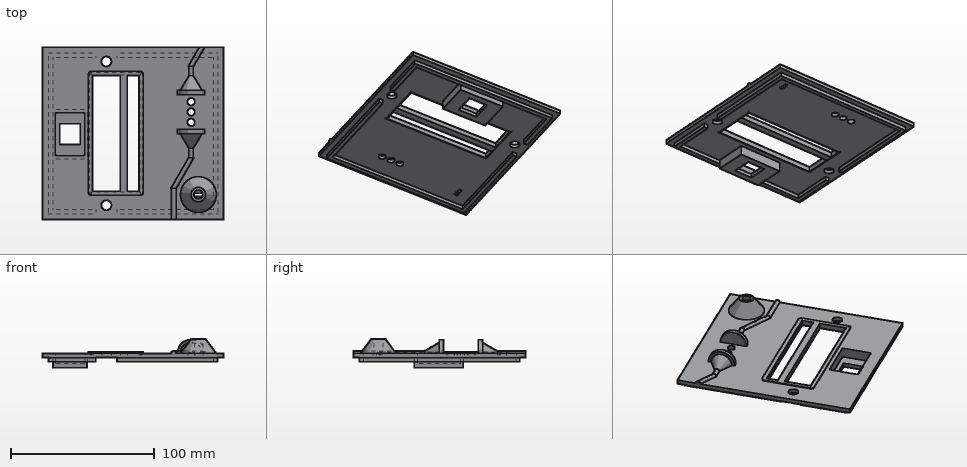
import cadquery as cq
import math


PLATE_LENGTH = 126.0
PLATE_WIDTH = 120.0
PLATE_THICKNESS = 3.0
RIM_INSET = 4.0
RIM_WALL = 3.0
RIM_HEIGHT = 3.0
RIM_GAP = 14.5

SCREW_DIAMETER = 6.8
SCREW_X = -18.5
SCREW_EDGE_DISTANCE = 10.0
SCREW_Y = PLATE_WIDTH / 2 - SCREW_EDGE_DISTANCE

POCKET_LENGTH = 20.7
POCKET_WIDTH = 29.9
POCKET_RADIUS = 1.0
BOX_WALL_X = 1.5
BOX_WALL_Y = 2.3
BOX_FLOOR = 3.0
BOX_DROP = 4.0
BOX_X = -43.8
BOX_Y = -0.5
JACK_OPENING = 14.2
BOX_BOTTOM = -(PLATE_THICKNESS + RIM_HEIGHT + BOX_DROP)

FRAME_BORDER = 3.0
WIDE_WINDOW = 19.0
NARROW_WINDOW = 8.1
WINDOW_BAR = 5.0
WINDOW_HEIGHT = 80.4
FRAME_X = -12.0
FRAME_RISE = 1.0
FRAME_RADIUS = 2.1
FRAME_TAPER = 32.0
FRAME_LENGTH = 2 * FRAME_BORDER + WIDE_WINDOW + WINDOW_BAR + NARROW_WINDOW
FRAME_WIDTH = WINDOW_HEIGHT + 2 * FRAME_BORDER
FRAME_DEPTH = FRAME_RISE + PLATE_THICKNESS

FUNNEL_X = 40.5
FUNNEL_Y = 14.9
FUNNEL_SPACING = 24.0
FLANGE_DIAMETER = 19.2
FLANGE_THICKNESS = 3.2
CONE_DIAMETER = 15.1
CONE_LENGTH = 10.1
PIPE_DIAMETER = 3.3
NECK_LENGTH = 6.8
PIPE_ANGLE = 30.0
PIPE_DROP = 21.0

SMALL_HOLE_DIAMETER = 5.0
SMALL_HOLE_PITCH = 7.2

BOSS_X = 45.5
BOSS_Y = -42.6
BOSS_BASE_DIAMETER = 25.0
BOSS_TOP_DIAMETER = 10.1
BOSS_HEIGHT = 10.0
BORE_DIAMETER = 6.0
SLOT_WIDTH = 2.1
SLOT_OFFSET = -0.3


def block(length, width, top, bottom, x=0.0, y=0.0):
    """Upright box centred on (x, y) between two heights."""
    return (cq.Workplane("XY", origin=(x, y, bottom))
            .rect(length, width).extrude(top - bottom))


def half_round(profile, x, y, direction):
    """Upper half of a solid of revolution about a line along +Y or -Y.

    The profile lists (radius, distance along the axis) points.
    """
    points = [(x + radius, y + direction * distance) for radius, distance in profile]
    outline = cq.Workplane("XY").polyline(points).close()
    return outline.revolve(180, (x, y, 0), (x, y - 1.3, 0))


def straight_pipe(x, y, direction, length):
    radius = PIPE_DIAMETER / 2
    profile = [(0, 0), (radius, 0), (radius, length), (0, length)]
    return half_round(profile, x, y, direction)


def sloping_pipe(x, y, direction, rise):
    """Half-round pipe at PIPE_ANGLE, cut off square to Y at both ends."""
    overrun = PIPE_DIAMETER
    length = rise / math.cos(math.radians(PIPE_ANGLE)) + 2 * overrun
    pipe = straight_pipe(x, y - direction * overrun, direction, length)
    pipe = pipe.rotate((x, y, 0), (x, y, 1), -PIPE_ANGLE)
    limits = block(PLATE_LENGTH, rise, PIPE_DIAMETER, 0, x, y + direction * rise / 2)
    return pipe.intersect(limits)


def make_funnel(direction):
    """Flange, cone and pipe; direction is +1 for the +Y funnel, -1 for the -Y one."""
    face_y = FUNNEL_Y + direction * FUNNEL_SPACING / 2
    cone_end = FLANGE_THICKNESS + CONE_LENGTH
    pipe_radius = PIPE_DIAMETER / 2
    neck_end = cone_end + NECK_LENGTH
    profile = [
        (0, 0),
        (FLANGE_DIAMETER / 2, 0),
        (FLANGE_DIAMETER / 2, FLANGE_THICKNESS),
        (CONE_DIAMETER / 2, FLANGE_THICKNESS),
        (pipe_radius, cone_end),
        (pipe_radius, neck_end),
        (0, neck_end),
    ]
    funnel = half_round(profile, FUNNEL_X, face_y, direction)

    bend_y = face_y + direction * neck_end
    to_edge = PLATE_WIDTH / 2 - direction * bend_y
    if direction > 0:
        return funnel.union(sloping_pipe(FUNNEL_X, bend_y, direction, to_edge))

    lower_x = FUNNEL_X - PIPE_DROP * math.tan(math.radians(PIPE_ANGLE))
    lower_y = bend_y - PIPE_DROP
    funnel = funnel.union(sloping_pipe(FUNNEL_X, bend_y, direction, PIPE_DROP))
    return funnel.union(straight_pipe(lower_x, lower_y, direction, to_edge - PIPE_DROP))


def make_rim():
    """Rim behind the plate, open beside each screw hole."""
    length = PLATE_LENGTH - 2 * RIM_INSET
    width = PLATE_WIDTH - 2 * RIM_INSET
    top = -PLATE_THICKNESS
    bottom = top - RIM_HEIGHT
    rim = block(length, width, top, bottom)
    rim = rim.cut(block(length - 2 * RIM_WALL, width - 2 * RIM_WALL, top, bottom))
    return rim.cut(block(RIM_GAP, PLATE_WIDTH, top, bottom, SCREW_X))


def add_jack_box(plate):
    length = POCKET_LENGTH + 2 * BOX_WALL_X
    width = POCKET_WIDTH + 2 * BOX_WALL_Y
    floor = BOX_BOTTOM + BOX_FLOOR
    box = block(length, width, -PLATE_THICKNESS, BOX_BOTTOM, BOX_X, BOX_Y)
    pocket = block(POCKET_LENGTH, POCKET_WIDTH, 0, floor, BOX_X, BOX_Y)
    opening = block(JACK_OPENING, JACK_OPENING, floor, BOX_BOTTOM, BOX_X, BOX_Y)
    return plate.union(box).cut(pocket.edges("|Z").fillet(POCKET_RADIUS)).cut(opening)


def add_boss(plate):
    boss = (cq.Workplane("XZ", origin=(BOSS_X, BOSS_Y, 0))
            .polyline([
                (BORE_DIAMETER / 2, 0),
                (BOSS_BASE_DIAMETER / 2, 0),
                (BOSS_TOP_DIAMETER / 2, BOSS_HEIGHT),
                (BORE_DIAMETER / 2, BOSS_HEIGHT),
            ]).close()
            .revolve(360, (0, 0, 0), (0, 1, 0)))
    slot = block(BORE_DIAMETER, SLOT_WIDTH, 0, -PLATE_THICKNESS, BOSS_X, BOSS_Y + SLOT_OFFSET)
    return plate.union(boss).cut(slot)


def cut_round_holes(plate):
    screws = [(SCREW_X, side * SCREW_Y) for side in (-1, 1)]
    row = [(FUNNEL_X, FUNNEL_Y + step * SMALL_HOLE_PITCH) for step in (-1, 0, 1)]
    for points, diameter in ((screws, SCREW_DIAMETER), (row, SMALL_HOLE_DIAMETER)):
        holes = cq.Workplane("XY").pushPoints(points).circle(diameter / 2)
        plate = plate.cut(holes.extrude(-PLATE_THICKNESS))
    return plate


def make_frame_blank():
    """Tapered frame without its windows, widest at its top face."""
    return (cq.Workplane("XY", origin=(FRAME_X, 0, FRAME_RISE))
            .sketch().rect(FRAME_LENGTH, FRAME_WIDTH).vertices().fillet(FRAME_RADIUS).finalize()
            .extrude(-FRAME_DEPTH, taper=FRAME_TAPER))


def make_window_frame():
    frame = make_frame_blank()
    wide_left = FRAME_X - FRAME_LENGTH / 2 + FRAME_BORDER
    narrow_left = wide_left + WIDE_WINDOW + WINDOW_BAR
    for left, length in ((wide_left, WIDE_WINDOW), (narrow_left, NARROW_WINDOW)):
        window = block(length, WINDOW_HEIGHT, FRAME_RISE, -PLATE_THICKNESS, left + length / 2)
        frame = frame.cut(window)
    return frame


def make_cover_plate():
    plate = block(PLATE_LENGTH, PLATE_WIDTH, 0, -PLATE_THICKNESS)
    plate = plate.union(make_rim())
    plate = add_jack_box(plate)
    plate = add_boss(plate)
    for direction in (-1, 1):
        plate = plate.union(make_funnel(direction))
    plate = cut_round_holes(plate)
    return plate.cut(make_frame_blank())


cover_plate = make_cover_plate()
window_frame = make_window_frame()
result = cq.Compound.makeCompound([cover_plate.solids().val(), window_frame.solids().val()])